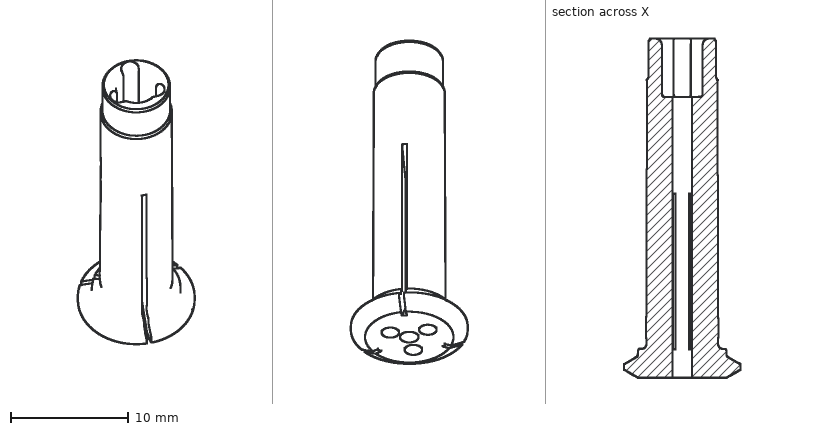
import cadquery as cq
import math

total_height = 29.0
flank_angle = 30.0
flank_slope = math.tan(math.radians(flank_angle))

flange_radius = 5.0
base_radius = 3.78
rim_height = 0.46
rim_round = 0.1
collar_radius = 3.8
collar_top = 2.5
collar_round = 0.2
rim_bottom = (flange_radius - base_radius) * flank_slope
rim_top = rim_bottom + rim_height
collar_bottom = rim_top + (flange_radius - collar_radius) * flank_slope

neck_radius = 3.08
neck_fillet = 0.4
neck_top = 3.32
body_bottom = 3.49
body_bottom_radius = 3.12
body_top = 25.42
body_top_radius = 3.05
head_radius = 2.9
head_chamfer_height = 0.25
head_bottom = body_top + (body_top_radius - head_radius) / flank_slope
head_chamfer_width = head_chamfer_height * flank_slope

socket_radius = 1.72
socket_depth = 5.0
socket_mouth_round = 0.6
socket_floor_round = 0.22

bore_diameter = 1.59
side_hole_diameter = 1.5
side_hole_circle_radius = 1.867
side_hole_centre_x = -0.117
part_count = 3
pitch_angle = 360.0 / part_count

slot_width = 0.42
slot_low_z = 2.45
slot_high_z = 15.72
slot_overrun = 1.0
slot_reach = flange_radius + slot_overrun


def ring_at(z):
    """Selector for the circular edges whose centre lies at height z."""
    tolerance = 0.01
    return cq.selectors.BoxSelector(
        (-flange_radius, -flange_radius, z - tolerance),
        (flange_radius, flange_radius, z + tolerance),
    )


def make_flange():
    """Double-coned flange with a rounded rim and a short collar on top."""
    flange = (
        cq.Workplane("XZ")
        .polyline([
            (0, 0),
            (base_radius, 0),
            (flange_radius, rim_bottom),
            (flange_radius, rim_top),
            (collar_radius, collar_bottom),
            (collar_radius, collar_top),
            (0, collar_top),
        ])
        .close()
        .revolve(360, (0, 0, 0), (0, 1, 0))
    )
    for z in (rim_bottom, rim_top):
        flange = flange.edges(ring_at(z)).fillet(rim_round)
    for z in (collar_bottom, collar_top):
        flange = flange.edges(ring_at(z)).fillet(collar_round)
    return flange


def make_shank():
    """Shank above the collar, starting with the fillet that runs up into the neck."""
    fillet_centre = (neck_radius + neck_fillet, collar_top + neck_fillet)
    fillet_middle = (
        fillet_centre[0] - neck_fillet * math.cos(math.pi / 4),
        fillet_centre[1] - neck_fillet * math.sin(math.pi / 4),
    )
    return (
        cq.Workplane("XZ")
        .moveTo(0, collar_top)
        .lineTo(fillet_centre[0], collar_top)
        .threePointArc(fillet_middle, (neck_radius, fillet_centre[1]))
        .lineTo(neck_radius, neck_top)
        .lineTo(body_bottom_radius, body_bottom)
        .lineTo(body_top_radius, body_top)
        .lineTo(head_radius, head_bottom)
        .lineTo(head_radius, total_height - head_chamfer_height)
        .lineTo(head_radius - head_chamfer_width, total_height)
        .lineTo(0, total_height)
        .close()
        .revolve(360, (0, 0, 0), (0, 1, 0))
    )


def cut_socket(body):
    """Blind round socket with a rounded mouth and a rounded floor corner."""
    floor_z = total_height - socket_depth
    socket = (
        cq.Workplane("XY", origin=(0, 0, floor_z))
        .circle(socket_radius)
        .extrude(socket_depth)
        .faces("<Z").edges().fillet(socket_floor_round)
    )
    mouth_radius = socket_radius + socket_mouth_round
    mouth_bottom = total_height - socket_mouth_round
    arc_middle = (
        mouth_radius - socket_mouth_round * math.cos(math.pi / 4),
        mouth_bottom + socket_mouth_round * math.sin(math.pi / 4),
    )
    mouth = (
        cq.Workplane("XZ")
        .moveTo(0, mouth_bottom)
        .lineTo(socket_radius, mouth_bottom)
        .threePointArc(arc_middle, (mouth_radius, total_height))
        .lineTo(0, total_height)
        .close()
        .revolve(360, (0, 0, 0), (0, 1, 0))
    )
    return body.cut(socket).cut(mouth)


def cut_holes(body):
    """Central bore and the circle of side holes, all running the full length."""
    bore = cq.Workplane("XY").circle(bore_diameter / 2).extrude(total_height)
    side_holes = (
        cq.Workplane("XY", origin=(side_hole_centre_x, 0, 0))
        .polarArray(side_hole_circle_radius, 0, 360, part_count)
        .circle(side_hole_diameter / 2)
        .extrude(total_height)
    )
    return body.cut(bore).cut(side_holes)


def cut_slots(body):
    """Radial slots from the bore outwards; both ends run out at 45 degrees."""
    bore_radius = bore_diameter / 2
    rise = slot_reach - bore_radius
    slot = (
        cq.Workplane("XZ")
        .polyline([
            (0, slot_low_z + bore_radius),
            (-slot_reach, slot_low_z - rise),
            (-slot_reach, slot_high_z + rise),
            (0, slot_high_z - bore_radius),
        ])
        .close()
        .extrude(slot_width / 2, both=True)
    )
    for i in range(part_count):
        body = body.cut(slot.rotate((0, 0, 0), (0, 0, 1), i * pitch_angle))
    return body


result = make_flange().union(make_shank())
result = cut_socket(result)
result = cut_holes(result)
result = cut_slots(result)